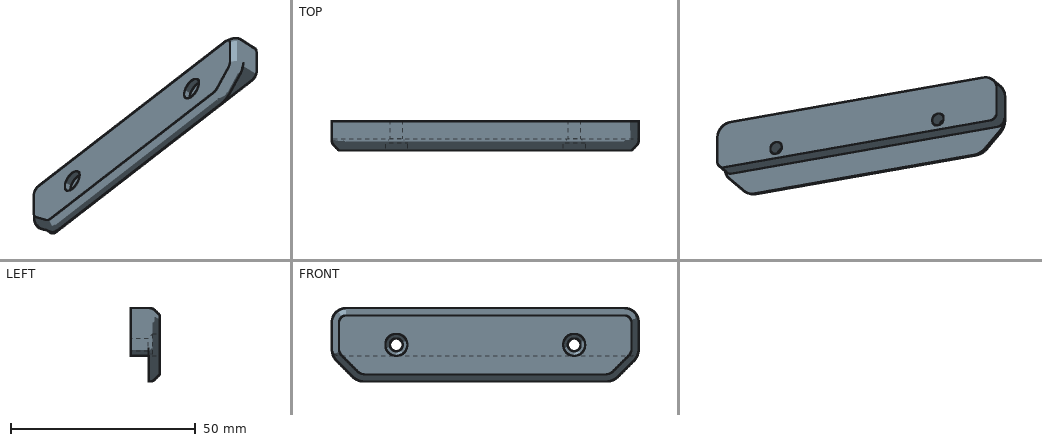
import cadquery as cq

length = 83.2
depth = 8.0
height = 20.0

plate_thickness = 3.1
top_corner_radius = 4.0
lower_corner_cut = 7.0
lower_corner_radius = 4.7
bevel = 2.0
bevel_blend_radius = 2.0

block_depth = depth - plate_thickness
block_height = height - lower_corner_cut
block_lower_radius = 2.0

hole_spacing = 48.2
hole_diameter = 3.4
countersink_diameter = 6.0
recess_depth = 2.0

half_length = length / 2
half_height = height / 2
front_y = -depth
bevel_end_y = front_y + bevel
selection_margin = 0.1


def make_plate():
    """Plate with two 45 degree lower corners, all corners rounded, front rim bevelled."""
    cut_top = lower_corner_cut - half_height
    cut_end = half_length - lower_corner_cut
    outline = [
        (-half_length, half_height),
        (half_length, half_height),
        (half_length, cut_top),
        (cut_end, -half_height),
        (-cut_end, -half_height),
        (-half_length, cut_top),
    ]
    plate = cq.Workplane("XZ", origin=(0, front_y, 0)).polyline(outline).close()
    plate = plate.extrude(-plate_thickness)
    upper_region = cq.selectors.BoxSelector((-length, -depth, 0), (length, depth, height))
    lower_region = cq.selectors.BoxSelector((-length, -depth, -height), (length, depth, 0))
    plate = plate.edges("|Y").edges(upper_region).fillet(top_corner_radius)
    plate = plate.edges("|Y").edges(lower_region).fillet(lower_corner_radius)
    plate = plate.faces("<Y").chamfer(bevel)
    bevel_end_region = cq.selectors.BoxSelector(
        (-length, bevel_end_y - selection_margin, -height),
        (length, bevel_end_y + selection_margin, height),
    )
    return plate.edges(bevel_end_region).fillet(bevel_blend_radius)


def make_block():
    """Full-length block with rounded ends, behind the plate and flush with its top."""
    block = cq.Workplane("XY").box(length, block_depth, block_height)
    block = block.edges("|Y and >Z").fillet(top_corner_radius)
    block = block.edges("|Y and <Z").fillet(block_lower_radius)
    return block.translate((0, -block_depth / 2, half_height - block_height / 2))


def make_screw_hole():
    """Solid of revolution about Y: straight recess, cone, then a through hole."""
    head_radius = countersink_diameter / 2
    hole_radius = hole_diameter / 2
    cone_start_y = front_y + recess_depth
    cone_end_y = cone_start_y + head_radius - hole_radius
    half_section = [
        (0, front_y),
        (head_radius, front_y),
        (head_radius, cone_start_y),
        (hole_radius, cone_end_y),
        (hole_radius, 0),
        (0, 0),
    ]
    section = cq.Workplane("XY").polyline(half_section).close()
    return section.revolve(360, (0, 0, 0), (0, 1, 0))


result = make_plate().union(make_block())
for hole_x in (-hole_spacing / 2, hole_spacing / 2):
    result = result.cut(make_screw_hole().translate((hole_x, 0, 0)))